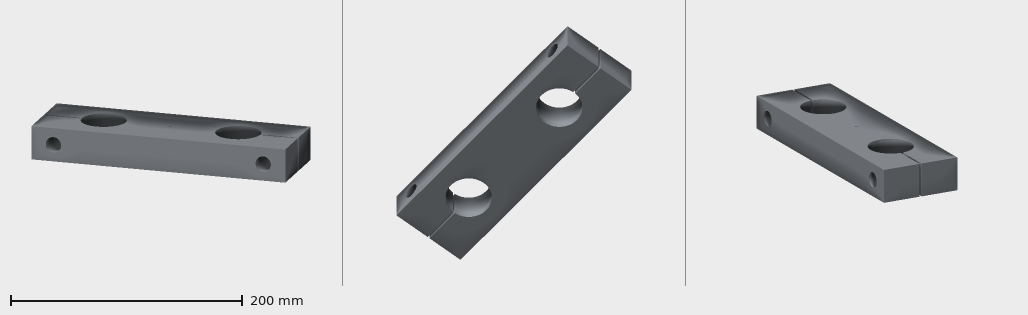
import cadquery as cq
import math

length = 230.0
width = 72.0
height = 30.0

bore_diameter = 40.0
bore_offset = 61.0
slit_width = 2.0
bolt_diameter = 13.8
bolt_offset = 95.0

pilot_diameter = 1.5
pilot_depth = 3.5
countersink_diameter = 3.5
countersink_angle = 60.0


def block():
    return cq.Workplane("XY").box(length, width, height, centered=(True, True, False))


def clamp_cut(side):
    """Bore, slit to the end face and bolt hole; side is -1 or +1 along X."""
    bore = (
        cq.Workplane("XY")
        .center(side * bore_offset, 0)
        .circle(bore_diameter / 2)
        .extrude(height)
    )
    slit_length = length / 2 - bore_offset
    slit = (
        cq.Workplane("XY")
        .center(side * (bore_offset + slit_length / 2), 0)
        .rect(slit_length, slit_width)
        .extrude(height)
    )
    bolt_hole = (
        cq.Workplane("XZ")
        .center(side * bolt_offset, height / 2)
        .circle(bolt_diameter / 2)
        .extrude(width / 2, both=True)
    )
    return bore.union(slit).union(bolt_hole)


def centre_mark_cut():
    """Pilot hole with a conical mouth, revolved about the Z axis."""
    pilot_radius = pilot_diameter / 2
    mouth_radius = countersink_diameter / 2
    cone_depth = (mouth_radius - pilot_radius) / math.tan(math.radians(countersink_angle / 2))
    return (
        cq.Workplane("XZ")
        .moveTo(0, height)
        .lineTo(mouth_radius, height)
        .lineTo(pilot_radius, height - cone_depth)
        .lineTo(pilot_radius, height - pilot_depth)
        .lineTo(0, height - pilot_depth)
        .close()
        .revolve(360, (0, 0, 0), (0, 1, 0))
    )


result = block()
for end in (-1, 1):
    result = result.cut(clamp_cut(end))
result = result.cut(centre_mark_cut())